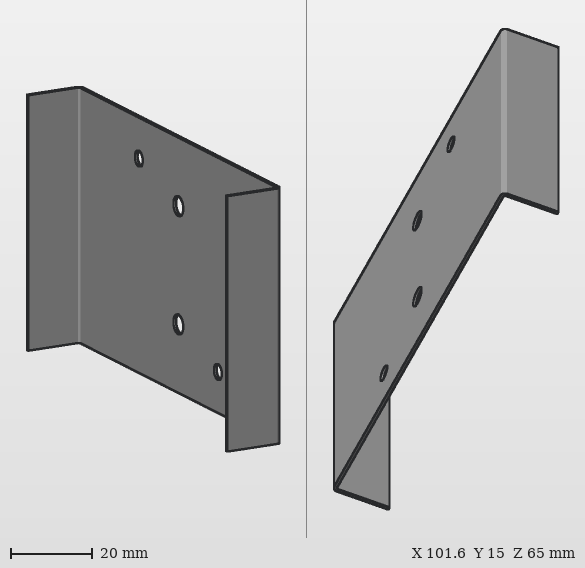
import cadquery as cq

width = 101.6
depth = 15.0
height = 65.0

thickness = 0.8
inner_bend_radius = 0.5
outer_bend_radius = inner_bend_radius + thickness

large_hole_diameter = 5.0
large_hole_offset_z = 15.0
small_hole_diameter = 4.0
small_hole_offset_x = 20.0
small_hole_offset_z = 22.0


def make_channel():
    """Web at the +Y side with a flange at each end pointing toward -Y."""
    outer = cq.Workplane("XY").box(width, depth, height)
    outer = outer.edges("|Z and >Y").fillet(outer_bend_radius)
    cavity = (
        cq.Workplane("XY")
        .box(width - 2 * thickness, depth, height)
        .edges("|Z and >Y")
        .fillet(inner_bend_radius)
        .translate((0, -thickness, 0))
    )
    return outer.cut(cavity)


def make_hole_pair(diameter, x, z):
    """Cutters along Y at (x, z) and at the point opposite the web centre."""
    return (
        cq.Workplane("XZ")
        .pushPoints([(x, z), (-x, -z)])
        .circle(diameter / 2)
        .extrude(depth, both=True)
    )


large_holes = make_hole_pair(large_hole_diameter, 0, large_hole_offset_z)
small_holes = make_hole_pair(small_hole_diameter, -small_hole_offset_x, small_hole_offset_z)

result = make_channel().cut(large_holes).cut(small_holes)